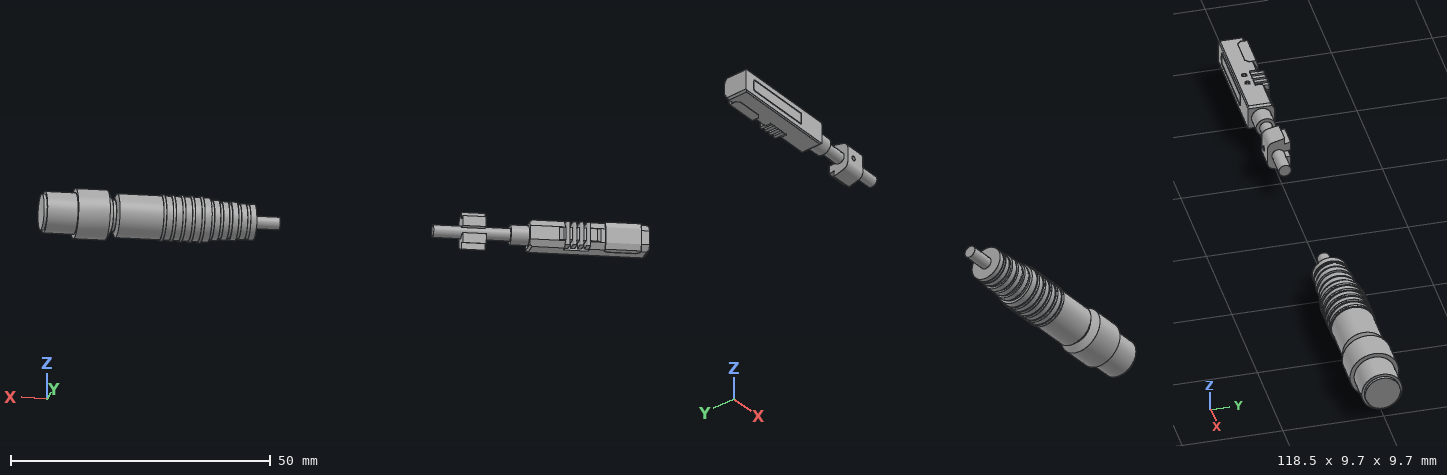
import cadquery as cq
import math

CABLE_DIA = 2.5

HOUSING_LENGTH = 23.3
HOUSING_SIZE = 5.3
FRONT_CHAMFER = 0.2
END_BEVEL_LENGTH = 0.5
END_BEVEL_HEIGHT = 0.4
BACK_BEVEL_DEPTH = 0.7
BACK_BEVEL_HEIGHT = 1.3

WINDOW_START = 2.4
WINDOW_END = 17.0
WINDOW_HEIGHT = 2.5
WINDOW_BOW = 0.2
WINDOW_DEPTH = 0.1

PAD_START = 1.7
PAD_LENGTH = 7.0
PAD_BACK = 3.1
PAD_FRONT = 0.6
PAD_CORNER = 0.7
PAD_RISE = 0.06
PAD_BEVEL_DEPTH = 0.4
PAD_BEVEL_HEIGHT = 1.2

PLINTH_START = 9.5
PLINTH_LENGTH = 8.2
PLINTH_RAMP = 0.8
PLINTH_RISE = 0.4
RECESS_START = 11.6
RECESS_LENGTH = 4.9
RECESS_FRONT = 0.6
RECESS_DEPTH = 1.4
BAR_COUNT = 4
BAR_WIDTH = 0.8
BAR_BACK = 3.4
BAR_SETBACK = 0.4

DOT_DIA = 1.0
DOT_DEPTH = 0.4
DOT_Y = -0.7
DOT_X = (12.7, 15.3)

GROMMET_DIA = 3.9
GROMMET_END = 26.9
SENSOR_CABLE_END = 42.0

CLIP_START = 31.9
CLIP_END = 36.5
CLIP_FRONT = -2.1
CLIP_BACK = 2.5
CLIP_FLAT = 3.2
CLIP_ROUND = 1.5
CLIP_SLOPE = math.radians(14.5)
CLIP_STEP_Y = 1.3
CLIP_STEP = 1.3
CLIP_MOUTH = 1.4
CLIP_HOLE_DIA = 1.0
CLIP_HOLE_X = 33.7

CONNECTOR_CABLE_START = 71.9
SLEEVE_START = 76.9
FIRST_GROOVE = 78.1
GROOVE_PITCH = 1.8
GROOVE_WIDTH = 0.6
BAND_DIAS = (7.0, 7.0, 7.5, 7.5, 7.8)
GROOVE_DIAS = (6.6, 6.6, 6.6, 7.0, 7.3)
GRIP_DIA = 8.5
GRIP_END = 104.3
GRIP_BEVEL = 0.5
GRIP_FACE_DIA = 6.5
GRIP_RIB_DIA = 9.0
GRIP_RIB_COUNT = 5
GRIP_RIB_START = 87.2
GRIP_RIB_SPAN = 7.5
GRIP_RIB_WIDTH = 0.56
NECK_DIA = 6.0
COLLAR_START = 104.9
COLLAR_CONE_LENGTH = 1.0
COLLAR_FACE_DIA = 6.5
COLLAR_DIA = 9.7
COLLAR_END = 112.0
PLUG_DIA = 8.0
PLUG_LIP_DIA = 7.0
PLUG_LIP_LENGTH = 0.6
CONNECTOR_END = 118.5


def rod(diameter, start, end):
    """Cylinder along the X axis between two X positions."""
    return cq.Workplane("YZ", origin=(start, 0, 0)).circle(diameter / 2).extrude(end - start)


def taper(start_dia, end_dia, start, end):
    """Cone frustum along the X axis between two X positions."""
    frustum = cq.Solid.makeCone(
        start_dia / 2, end_dia / 2, end - start, cq.Vector(start, 0, 0), cq.Vector(1, 0, 0)
    )
    return cq.Workplane(frustum)


def block(x0, x1, y0, y1, z0, z1):
    """Box between pairs of X, Y and Z limits."""
    return cq.Workplane("XY").box(x1 - x0, y1 - y0, z1 - z0, centered=False).translate((x0, y0, z0))


def plate(points, height):
    """Outline in X and Y extruded to equal heights above and below the axis."""
    return cq.Workplane("XY").polyline(points).close().extrude(height / 2, both=True)


def bevelled_bar(start, end, back, half_height, depth, height):
    """Bar from the axis to its back face, with bevels along the two long back corners."""
    shoulder = half_height - height
    outline = [
        (0, half_height),
        (back - depth, half_height),
        (back, shoulder),
        (back, -shoulder),
        (back - depth, -half_height),
        (0, -half_height),
    ]
    return cq.Workplane("YZ", origin=(start, 0, 0)).polyline(outline).close().extrude(end - start)


def make_housing_block():
    half = HOUSING_SIZE / 2
    front = block(0, HOUSING_LENGTH, -half, 0, -half, half)
    front = front.faces("<Y").edges("|X").chamfer(FRONT_CHAMFER)
    back = bevelled_bar(0, HOUSING_LENGTH, half, half, BACK_BEVEL_DEPTH, BACK_BEVEL_HEIGHT)
    body = front.union(back)
    side_outline = [
        (0, half - END_BEVEL_HEIGHT),
        (END_BEVEL_LENGTH, half),
        (HOUSING_LENGTH - END_BEVEL_LENGTH, half),
        (HOUSING_LENGTH, half - END_BEVEL_HEIGHT),
        (HOUSING_LENGTH, END_BEVEL_HEIGHT - half),
        (HOUSING_LENGTH - END_BEVEL_LENGTH, -half),
        (END_BEVEL_LENGTH, -half),
        (0, END_BEVEL_HEIGHT - half),
    ]
    envelope = cq.Workplane("XZ").polyline(side_outline).close().extrude(half, both=True)
    return body.intersect(envelope)


def make_window():
    half = WINDOW_HEIGHT / 2
    return (
        cq.Workplane("XZ", origin=(0, -HOUSING_SIZE / 2, 0))
        .moveTo(WINDOW_START + WINDOW_BOW, -half)
        .lineTo(WINDOW_END, -half)
        .lineTo(WINDOW_END, half)
        .lineTo(WINDOW_START + WINDOW_BOW, half)
        .threePointArc((WINDOW_START, 0), (WINDOW_START + WINDOW_BOW, -half))
        .close()
        .extrude(-WINDOW_DEPTH)
    )


def make_pad():
    end = PAD_START + PAD_LENGTH
    outline = [
        (PAD_START, PAD_BACK),
        (PAD_START, PAD_FRONT + PAD_CORNER),
        (PAD_START + PAD_CORNER, PAD_FRONT),
        (end - PAD_CORNER, PAD_FRONT),
        (end, PAD_FRONT + PAD_CORNER),
        (end, PAD_BACK),
    ]
    half = HOUSING_SIZE / 2 + PAD_RISE
    bar = bevelled_bar(PAD_START, end, PAD_BACK, half, PAD_BEVEL_DEPTH, PAD_BEVEL_HEIGHT)
    return plate(outline, 2 * half).intersect(bar)


def make_plinth(height):
    back = HOUSING_SIZE / 2
    end = PLINTH_START + PLINTH_LENGTH
    outline = [
        (PLINTH_START, back),
        (PLINTH_START + PLINTH_RAMP, back + PLINTH_RISE),
        (end - PLINTH_RAMP, back + PLINTH_RISE),
        (end, back),
        (end, 0),
        (PLINTH_START, 0),
    ]
    return plate(outline, height)


def make_clamp_bars():
    height = HOUSING_SIZE - 2 * BAR_SETBACK
    spacing = (RECESS_LENGTH - BAR_WIDTH) / (BAR_COUNT - 1)
    round_y = BAR_BACK - BAR_WIDTH / 2
    bars = cq.Workplane("XY")
    for i in range(BAR_COUNT):
        x = RECESS_START + i * spacing
        bar = (
            cq.Workplane("XY")
            .moveTo(x, RECESS_FRONT)
            .lineTo(x, round_y)
            .threePointArc((x + BAR_WIDTH / 2, BAR_BACK), (x + BAR_WIDTH, round_y))
            .lineTo(x + BAR_WIDTH, RECESS_FRONT)
            .close()
            .extrude(height / 2, both=True)
        )
        bars = bars.add(bar)
    return bars


def make_sensor():
    half = HOUSING_SIZE / 2
    recess_end = RECESS_START + RECESS_LENGTH
    sensor = make_housing_block().cut(make_window()).union(make_pad())

    recess = block(RECESS_START, recess_end, RECESS_FRONT, half, -half, half)
    sensor = sensor.cut(recess).union(make_plinth(HOUSING_SIZE - 2 * RECESS_DEPTH))
    for bar in make_clamp_bars().vals():
        sensor = sensor.union(cq.Workplane(bar))

    for x in DOT_X:
        dot = cq.Workplane("XY", origin=(x, DOT_Y, half)).circle(DOT_DIA / 2).extrude(-DOT_DEPTH)
        sensor = sensor.cut(dot)

    sensor = sensor.union(rod(GROMMET_DIA, HOUSING_LENGTH, GROMMET_END))
    return sensor.union(rod(CABLE_DIA, GROMMET_END, SENSOR_CABLE_END))


def make_clip():
    flat = CLIP_FLAT / 2
    slope = math.tan(CLIP_SLOPE)
    round_y = CLIP_FRONT + CLIP_ROUND
    mid_angle = (math.pi / 2 - CLIP_SLOPE) / 2
    mid = (round_y - CLIP_ROUND * math.cos(mid_angle), flat + CLIP_ROUND * math.sin(mid_angle))
    tangent = (round_y - CLIP_ROUND * math.sin(CLIP_SLOPE), flat + CLIP_ROUND * math.cos(CLIP_SLOPE))
    step_top = tangent[1] + slope * (CLIP_STEP_Y - tangent[0])
    step_bottom = step_top - CLIP_STEP
    back_top = step_bottom + slope * (CLIP_BACK - CLIP_STEP_Y)

    half_clip = (
        cq.Workplane("YZ", origin=(CLIP_START, 0, 0))
        .moveTo(CLIP_FRONT, 0)
        .lineTo(CLIP_FRONT, flat)
        .threePointArc(mid, tangent)
        .lineTo(CLIP_STEP_Y, step_top)
        .lineTo(CLIP_STEP_Y, step_bottom)
        .lineTo(CLIP_BACK, back_top)
        .lineTo(CLIP_BACK, 0)
        .close()
        .extrude(CLIP_END - CLIP_START)
    )
    clip = half_clip.union(half_clip.mirror("XY"))
    clip = clip.cut(rod(CABLE_DIA, CLIP_START, CLIP_END))
    clip = clip.cut(block(CLIP_START, CLIP_END, 0, CLIP_BACK, -CLIP_MOUTH / 2, CLIP_MOUTH / 2))
    hole = cq.Workplane("XZ", origin=(CLIP_HOLE_X, 0, 0)).circle(CLIP_HOLE_DIA / 2).extrude(-CLIP_FRONT)
    return clip.cut(hole)


def make_connector():
    connector = rod(CABLE_DIA, CONNECTOR_CABLE_START, SLEEVE_START)

    band_start = SLEEVE_START
    for i, (band_dia, groove_dia) in enumerate(zip(BAND_DIAS, GROOVE_DIAS)):
        groove_start = FIRST_GROOVE + i * GROOVE_PITCH
        groove_end = groove_start + GROOVE_WIDTH
        connector = connector.union(rod(band_dia, band_start, groove_start))
        connector = connector.union(rod(groove_dia, groove_start, groove_end))
        band_start = groove_end

    bevel_start = GRIP_END - GRIP_BEVEL
    connector = connector.union(rod(GRIP_DIA, band_start, bevel_start))
    connector = connector.union(taper(GRIP_DIA, GRIP_FACE_DIA, bevel_start, GRIP_END))
    for i in range(GRIP_RIB_COUNT):
        start = GRIP_RIB_START + i * GRIP_RIB_SPAN / (GRIP_RIB_COUNT - 1)
        connector = connector.union(rod(GRIP_RIB_DIA, start, start + GRIP_RIB_WIDTH))

    connector = connector.union(rod(NECK_DIA, GRIP_END, COLLAR_START))
    cone_end = COLLAR_START + COLLAR_CONE_LENGTH
    connector = connector.union(taper(COLLAR_FACE_DIA, COLLAR_DIA, COLLAR_START, cone_end))
    connector = connector.union(rod(COLLAR_DIA, cone_end, COLLAR_END))
    lip_start = CONNECTOR_END - PLUG_LIP_LENGTH
    connector = connector.union(rod(PLUG_DIA, COLLAR_END, lip_start))
    return connector.union(rod(PLUG_LIP_DIA, lip_start, CONNECTOR_END))


sensor = make_sensor()
clip = make_clip()
connector = make_connector()

bodies = [sensor, clip, connector]
result = cq.Compound.makeCompound([body.solids().val() for body in bodies])